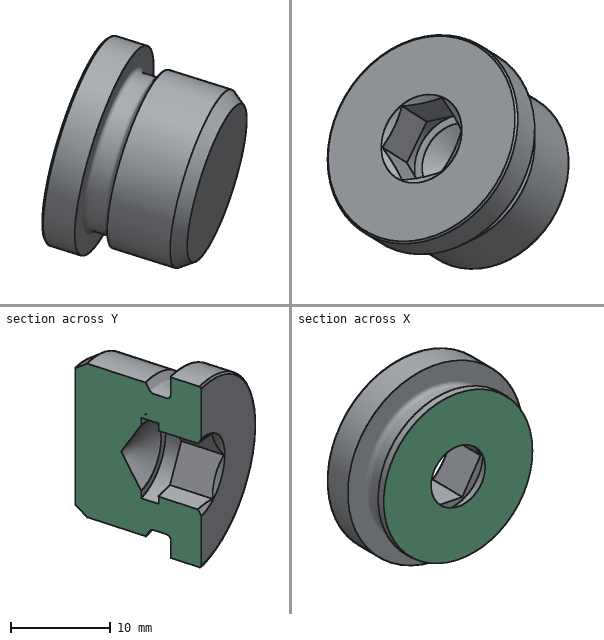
import cadquery as cq
import math

TOTAL_LENGTH = 14.7

FLANGE_DIAMETER = 22.2
FLANGE_THICKNESS = 3.6
FLANGE_CHAMFER = 0.2

SHANK_DIAMETER = 18.89
SHANK_CHAMFER_LENGTH = 1.44

GROOVE_DIAMETER = 16.75
GROOVE_WIDTH = 2.87
GROOVE_FILLET = 0.5
GROOVE_FLANK_ANGLE = math.radians(60)

HEX_ACROSS_FLATS = 8.0
HEX_DEPTH = 5.0
UNDERCUT_DIAMETER = 9.8
UNDERCUT_WIDTH = 2.0
MOUTH_DIAMETER = 9.4
MOUTH_HALF_ANGLE = math.radians(60)
DRILL_DIAMETER = HEX_ACROSS_FLATS
DRILL_HALF_ANGLE = math.radians(60)


def make_body():
    """Revolve the flange, groove and shank profile about the X axis."""
    flange_radius = FLANGE_DIAMETER / 2
    shank_radius = SHANK_DIAMETER / 2
    groove_radius = GROOVE_DIAMETER / 2
    groove_end = FLANGE_THICKNESS + GROOVE_WIDTH

    flange_fillet_x = FLANGE_THICKNESS + GROOVE_FILLET
    fillet_centre_radius = groove_radius + GROOVE_FILLET
    flange_arc_x = flange_fillet_x - GROOVE_FILLET * math.sin(math.pi / 4)
    flange_arc_radius = fillet_centre_radius - GROOVE_FILLET * math.cos(math.pi / 4)

    flank_bottom_radius = fillet_centre_radius - GROOVE_FILLET * math.cos(GROOVE_FLANK_ANGLE)
    flank_bottom_x = groove_end - (shank_radius - flank_bottom_radius) / math.tan(GROOVE_FLANK_ANGLE)
    flank_fillet_x = flank_bottom_x - GROOVE_FILLET * math.sin(GROOVE_FLANK_ANGLE)
    flank_arc_x = flank_fillet_x + GROOVE_FILLET * math.sin(GROOVE_FLANK_ANGLE / 2)
    flank_arc_radius = fillet_centre_radius - GROOVE_FILLET * math.cos(GROOVE_FLANK_ANGLE / 2)

    profile = (
        cq.Workplane("XY")
        .moveTo(0, 0)
        .lineTo(0, flange_radius - FLANGE_CHAMFER)
        .lineTo(FLANGE_CHAMFER, flange_radius)
        .lineTo(FLANGE_THICKNESS, flange_radius)
        .lineTo(FLANGE_THICKNESS, fillet_centre_radius)
        .threePointArc((flange_arc_x, flange_arc_radius), (flange_fillet_x, groove_radius))
        .lineTo(flank_fillet_x, groove_radius)
        .threePointArc((flank_arc_x, flank_arc_radius), (flank_bottom_x, flank_bottom_radius))
        .lineTo(groove_end, shank_radius)
        .lineTo(TOTAL_LENGTH - SHANK_CHAMFER_LENGTH, shank_radius)
        .lineTo(TOTAL_LENGTH, groove_radius)
        .lineTo(TOTAL_LENGTH, 0)
        .close()
    )
    return profile.revolve(360, (0, 0, 0), (1, 0, 0))


def make_cone(start_x, diameter, half_angle):
    """Cone with its base at start_x and its tip pointing toward +X."""
    radius = diameter / 2
    tip_x = start_x + radius / math.tan(half_angle)
    profile = cq.Workplane("XY").polyline([(start_x, 0), (start_x, radius), (tip_x, 0)]).close()
    return profile.revolve(360, (0, 0, 0), (1, 0, 0))


def make_socket():
    """Hexagonal prism with two corners on the Y axis, plus its mouth, undercut and bottom cone."""
    across_corners = HEX_ACROSS_FLATS / math.cos(math.pi / 6)
    hexagon = cq.Workplane("YZ").polygon(6, across_corners).extrude(HEX_DEPTH)
    mouth = make_cone(0, MOUTH_DIAMETER, MOUTH_HALF_ANGLE)
    undercut_plane = cq.Workplane("YZ", origin=(HEX_DEPTH, 0, 0))
    undercut = undercut_plane.circle(UNDERCUT_DIAMETER / 2).extrude(UNDERCUT_WIDTH)
    bottom = make_cone(HEX_DEPTH + UNDERCUT_WIDTH, DRILL_DIAMETER, DRILL_HALF_ANGLE)
    return hexagon.union(mouth).union(undercut).union(bottom)


result = make_body().cut(make_socket())